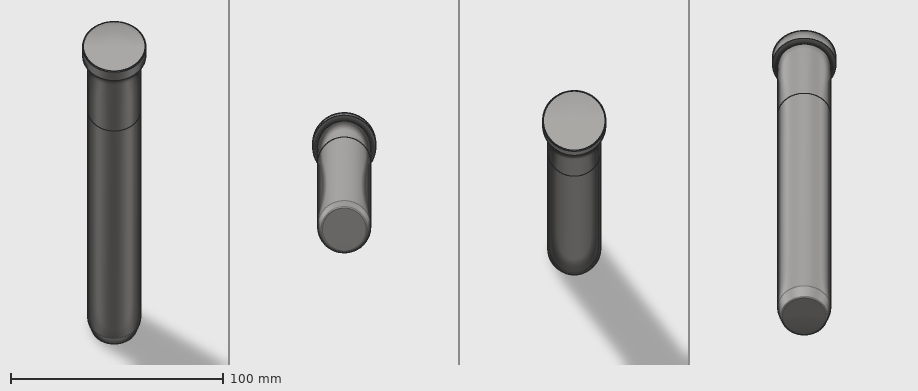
import cadquery as cq

total_length = 220.0
shank_radius = 12.5
head_radius = 15.0

head_height = 7.0
head_chamfer = 0.5
relief_height = 1.3
relief_depth = 0.5

upper_length = 50.0

nose_height = 7.0
nose_end_radius = 10.8
nose_bulge = 0.1
end_rounding = 0.7

joint_z = total_length - upper_length
head_bottom_z = total_length - head_height


def make_headed_part():
    """Upper shank with its chamfered head and a tapered relief below the head."""
    relief_radius = shank_radius - relief_depth
    profile = (
        cq.Workplane("XZ")
        .moveTo(0, joint_z)
        .lineTo(shank_radius, joint_z)
        .lineTo(shank_radius, head_bottom_z - relief_height)
        .lineTo(relief_radius, head_bottom_z)
        .lineTo(head_radius, head_bottom_z)
        .lineTo(head_radius, total_length - head_chamfer)
        .lineTo(head_radius - head_chamfer, total_length)
        .lineTo(0, total_length)
        .close()
    )
    return profile.revolve(360, (0, 0, 0), (0, 1, 0))


def make_lower_shank():
    """Lower shank ending in a slightly bulged, tapered nose with a rounded end."""
    nose_middle_radius = (shank_radius + nose_end_radius) / 2 + nose_bulge
    profile = (
        cq.Workplane("XZ")
        .moveTo(0, 0)
        .lineTo(nose_end_radius, 0)
        .threePointArc((nose_middle_radius, nose_height / 2), (shank_radius, nose_height))
        .lineTo(shank_radius, joint_z)
        .lineTo(0, joint_z)
        .close()
    )
    shank = profile.revolve(360, (0, 0, 0), (0, 1, 0))
    return shank.faces("<Z").edges().fillet(end_rounding)


headed_part = make_headed_part()
lower_shank = make_lower_shank()

result = cq.Compound.makeCompound([headed_part.val(), lower_shank.val()])